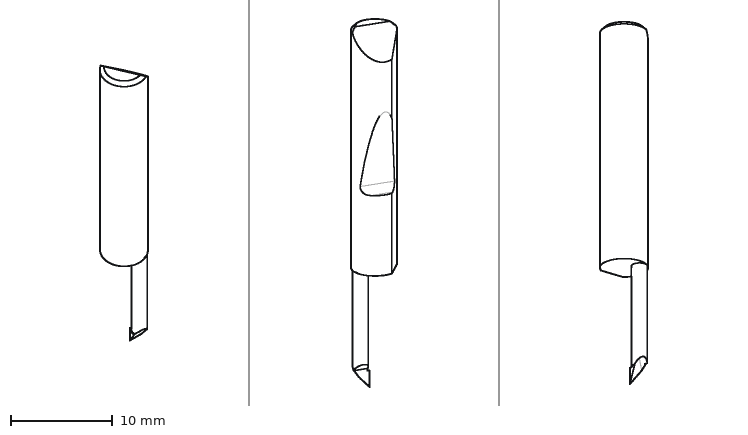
import cadquery as cq
import math

shank_diameter = 4.76
shank_radius = shank_diameter / 2
shank_length = 25.4
top_chamfer = 0.4

flat_direction = 145
flat_half_angle = 35
flat_distance = shank_radius * math.cos(math.radians(flat_half_angle))

bevel_top_y = -0.6

notch_ramp_top = 17.2
notch_floor = 8.45
notch_depth = 1.28
notch_radius = 0.8

neck_diameter = 1.58
neck_radius = neck_diameter / 2
neck_x = shank_radius - neck_radius

overall_length = 37.88
tip_z = shank_length - overall_length
tip_x = 0.6
tip_height = 1.75
flank_slope = 1.0
lower_edge_rise = 1.07
upper_edge_rise = 1.5
edge_bend_run = 1.2
relief_rise = 1.35
runout_height = 2.0

margin = 1.0
cos_45 = math.cos(math.radians(45))


def prism(outline, plane, length):
    """Straight-sided body centred on the given plane."""
    return cq.Workplane(plane).polyline(outline).close().extrude(length / 2, both=True)


def make_shank():
    bar = cq.Workplane("XY").circle(shank_radius).extrude(shank_length)
    return bar.faces(">Z").chamfer(top_chamfer)


def flat_cutter():
    cutter = cq.Workplane("XY").box(
        shank_radius, 2 * shank_diameter, shank_length, centered=(False, True, False)
    )
    cutter = cutter.translate((flat_distance, 0, 0))
    return cutter.rotate((0, 0, 0), (0, 0, 1), flat_direction)


def bevel_cutter():
    outer_y = shank_radius + margin
    outer_z = shank_length - (outer_y - bevel_top_y)
    outline = [
        (bevel_top_y - margin, shank_length + margin),
        (outer_y, outer_z),
        (outer_y, shank_length + margin),
    ]
    return prism(outline, "YZ", 2 * shank_diameter)


def notch_cutter():
    outer_y = shank_radius + margin
    deep_y = shank_radius - notch_depth
    corner_z = notch_floor + notch_radius
    corner_y = deep_y + notch_radius
    arc_offset = notch_radius * cos_45
    profile = (
        cq.Workplane("YZ")
        .moveTo(shank_radius, notch_ramp_top)
        .lineTo(deep_y, corner_z)
        .threePointArc((corner_y - arc_offset, corner_z - arc_offset), (corner_y, notch_floor))
        .lineTo(outer_y, notch_floor)
        .lineTo(outer_y, notch_ramp_top)
        .close()
    )
    return profile.extrude(shank_diameter, both=True)


def neck_bar(bottom_z):
    return cq.Workplane("XY", origin=(neck_x, 0, bottom_z)).circle(neck_radius).extrude(-bottom_z)


def runout_cutter():
    """45 degree runout from the rake face to the +Y side of the neck."""
    start_z = tip_z + runout_height
    reach = neck_radius + margin
    outline = [
        (0, tip_z - margin),
        (0, start_z),
        (reach, start_z + reach),
        (reach, tip_z - margin),
    ]
    return prism(outline, "YZ", 2 * shank_diameter)


def make_tip():
    """Wedge below the neck: slanted flank on the -X side, neck curve on the +X side."""
    arc_offset = neck_radius * cos_45
    outline = (
        cq.Workplane("XY", origin=(0, 0, tip_z))
        .moveTo(tip_x, 0)
        .lineTo(tip_x + flank_slope * neck_radius, -neck_radius)
        .lineTo(neck_x, -neck_radius)
        .threePointArc((neck_x + arc_offset, -arc_offset), (shank_radius, 0))
        .close()
    )
    return outline.extrude(tip_height)


def end_face_cutter(edge_x, edge_z, edge_rise):
    """Body below an end face whose cutting edge passes through the given point at Y = 0."""
    end_plane = cq.Plane(
        origin=(edge_x, 0, edge_z),
        xDir=(1, 0, edge_rise),
        normal=(edge_rise, -relief_rise, -1),
    )
    return cq.Workplane(end_plane).rect(shank_length, shank_length).extrude(2 * neck_diameter)


def make_cutting_end():
    bend_x = tip_x + edge_bend_run
    bend_z = tip_z + lower_edge_rise * edge_bend_run
    cutting_end = neck_bar(tip_z + tip_height).cut(runout_cutter()).union(make_tip())
    for edge_rise in (lower_edge_rise, upper_edge_rise):
        cutting_end = cutting_end.cut(end_face_cutter(bend_x, bend_z, edge_rise))
    return cutting_end


shank = make_shank().cut(flat_cutter()).cut(bevel_cutter()).cut(notch_cutter())
result = shank.union(make_cutting_end())